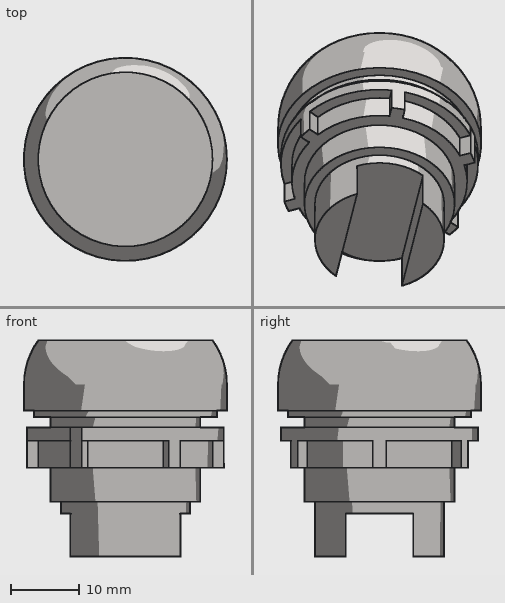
import cadquery as cq
import math

height = 31.8
slot_top_z = 6.3
body_bottom_z = 8.05
skirt_bottom_z = 13.05
flange_bottom_z = 17.0
flange_top_z = 19.0
collar_bottom_z = 20.48
cap_bottom_z = 21.43
dome_start_z = 25.25

cap_radius = 14.95
cap_top_radius = 12.8
collar_radius = 13.48
body_radius = 11.05
flange_radius = 14.5
skirt_radius = 12.88
spigot_radius = 9.5

slot_width = 9.85

tab_count = 6
tab_width = 1.97
index_tab_angle = 240.0


def disc(radius, bottom_z, top_z):
    """Solid cylinder on the Z axis between two heights."""
    return cq.Workplane("XY").workplane(offset=bottom_z).circle(radius).extrude(top_z - bottom_z)


def radial_bar(angle, length, bottom_z, top_z):
    """Flat-ended bar of tab width, running outward from the axis."""
    bar = cq.Workplane("XY").box(length, tab_width, top_z - bottom_z, centered=(False, True, False))
    return bar.translate((0, 0, bottom_z)).rotate((0, 0, 0), (0, 0, 1), angle)


def make_cap():
    """Cap with a straight rim and a dome arc that starts tangent to the rim."""
    inset = cap_radius - cap_top_radius
    rise = height - dome_start_z
    dome_radius = (inset**2 + rise**2) / (2 * inset)
    half_angle = math.atan2(rise, dome_radius - inset) / 2
    arc_middle = (
        cap_radius - dome_radius * (1 - math.cos(half_angle)),
        dome_start_z + dome_radius * math.sin(half_angle),
    )
    profile = (
        cq.Workplane("XZ")
        .moveTo(0, cap_bottom_z)
        .lineTo(cap_radius, cap_bottom_z)
        .lineTo(cap_radius, dome_start_z)
        .threePointArc(arc_middle, (cap_top_radius, height))
        .lineTo(0, height)
        .close()
    )
    return profile.revolve(360, (0, 0, 0), (0, 1, 0))


def make_legs():
    """Spigot split into two legs by a slot along X."""
    slot = cq.Workplane("XY").box(2 * spigot_radius, slot_width, slot_top_z, centered=(True, True, False))
    return disc(spigot_radius, 0, body_bottom_z).cut(slot)


def make_locking_ring():
    """Flange and skirt with evenly spaced tabs; the index tab has a flat face up to the flange top."""
    ring = disc(flange_radius, flange_bottom_z, flange_top_z)
    ring = ring.union(disc(skirt_radius, skirt_bottom_z, flange_bottom_z))
    tab_envelope = disc(flange_radius, skirt_bottom_z, flange_bottom_z)
    for index in range(tab_count):
        angle = index * 360 / tab_count
        if angle == index_tab_angle:
            tab = radial_bar(angle, flange_radius, skirt_bottom_z, flange_top_z)
        else:
            tab = radial_bar(angle, cap_radius, skirt_bottom_z, flange_bottom_z).intersect(tab_envelope)
        ring = ring.union(tab)
    return ring


result = (
    make_legs()
    .union(disc(body_radius, body_bottom_z, collar_bottom_z))
    .union(disc(collar_radius, collar_bottom_z, cap_bottom_z))
    .union(make_cap())
    .union(make_locking_ring())
)